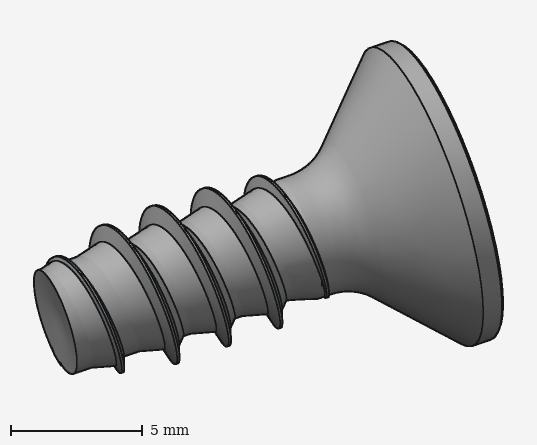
import cadquery as cq
import math

LENGTH = 16.0

HEAD_RADIUS = 6.0
RIM_HEIGHT = 0.87
RIM_CHAMFER = 0.1
CONE_ANGLE = math.radians(45)

SHANK_RADIUS = 2.4
NECK_BLEND_RADIUS = 2.4
SHANK_END = 6.0
CORE_RADIUS = 2.09
RUNOUT_ANGLE = math.radians(16)

RECESS_RADIUS = 2.0
RECESS_DEPTH = 0.2

PITCH = 2.13
CREST_RADIUS = 3.0
CREST_WIDTH = 0.1
FIRST_CREST_DEPTH = 5.85
HEAD_FLANK_ANGLE = math.radians(21)
TIP_FLANK_ANGLE = math.radians(19)
FLANK_FOOT_RADIUS = 2.4
RAMP_HEIGHT = 0.35
ROOT_RADIUS = 1.0
RELIEF_RADIUS = 2.40
RELIEF_SLOPE = 0.25
RELIEF_END_RADIUS = 2.06

RUN_IN_START = -0.25
RUN_IN_END = 1.0
RUN_IN_RADIUS = 2.35
RUN_IN_POWER = 1.5
RUN_OUT_START = 3.27
RELIEF_DROP_START = 3.75
THREAD_END = 5.25
CREST_DROP_PER_TURN = 0.56
RELIEF_DROP_PER_TURN = 0.24
PATCHES = 11
STEPS_PER_PATCH = 8
TIP_ALLOWANCE = 3.0


def revolve_about_y(outline):
    return outline.close().revolve(360, (0, 0, 0), (0, 1, 0))


def make_blank():
    """Head, blended neck, shank and an overlong core as one turned body."""
    blend_rise = NECK_BLEND_RADIUS * (1 - math.cos(CONE_ANGLE))
    blend_length = NECK_BLEND_RADIUS * math.sin(CONE_ANGLE)
    cone_end_radius = SHANK_RADIUS + blend_rise
    cone_end = RIM_HEIGHT + (HEAD_RADIUS - cone_end_radius) / math.tan(CONE_ANGLE)
    blend_end = cone_end + blend_length
    half_angle = CONE_ANGLE / 2
    blend_mid = (
        SHANK_RADIUS + NECK_BLEND_RADIUS * (1 - math.cos(half_angle)),
        -blend_end + NECK_BLEND_RADIUS * math.sin(half_angle),
    )
    core_start = SHANK_END + (SHANK_RADIUS - CORE_RADIUS) / math.tan(RUNOUT_ANGLE)
    outline = (
        cq.Workplane("XY")
        .lineTo(HEAD_RADIUS - RIM_CHAMFER, 0)
        .lineTo(HEAD_RADIUS, -RIM_CHAMFER)
        .lineTo(HEAD_RADIUS, -RIM_HEIGHT)
        .lineTo(cone_end_radius, -cone_end)
        .threePointArc(blend_mid, (SHANK_RADIUS, -blend_end))
        .lineTo(SHANK_RADIUS, -SHANK_END)
        .lineTo(CORE_RADIUS, -core_start)
        .lineTo(CORE_RADIUS, -LENGTH - TIP_ALLOWANCE)
        .lineTo(0, -LENGTH - TIP_ALLOWANCE)
    )
    return revolve_about_y(outline)


def crest_radius(turn):
    """Crest radius, rising over the run-in and falling over the run-out."""
    if turn < RUN_IN_END:
        remaining = (RUN_IN_END - turn) / (RUN_IN_END - RUN_IN_START)
        return CREST_RADIUS - (CREST_RADIUS - RUN_IN_RADIUS) * remaining**RUN_IN_POWER
    return CREST_RADIUS - max(turn - RUN_OUT_START, 0) * CREST_DROP_PER_TURN


def relief_radius(turn):
    return RELIEF_RADIUS - max(turn - RELIEF_DROP_START, 0) * RELIEF_DROP_PER_TURN


def thread_profile(turn):
    """Corners of the thread section as (depth from the crest, radius), from head to tip."""
    crest = crest_radius(turn)
    relief = relief_radius(turn)
    half_crest = CREST_WIDTH / 2
    flank_height = CREST_RADIUS - FLANK_FOOT_RADIUS
    foot = crest - flank_height
    foot_depth = -half_crest - flank_height * math.tan(HEAD_FLANK_ANGLE)
    flank_slope = 1 / math.tan(TIP_FLANK_ANGLE)
    meet = (crest - relief + RELIEF_SLOPE * half_crest) / (flank_slope - RELIEF_SLOPE)
    relief_end_depth = (relief - RELIEF_END_RADIUS) / RELIEF_SLOPE
    return [
        (foot_depth - RAMP_HEIGHT, foot - RAMP_HEIGHT),
        (foot_depth, foot),
        (-half_crest, crest),
        (half_crest, crest),
        (half_crest + meet, crest - meet * flank_slope),
        (relief_end_depth, RELIEF_END_RADIUS),
        (0, ROOT_RADIUS),
    ]


def helix_point(turn, corner):
    offset, radius = corner
    angle = 2 * math.pi * turn
    depth = FIRST_CREST_DEPTH + PITCH * turn + offset
    return cq.Vector(radius * math.cos(angle), -depth, radius * math.sin(angle))


def thread_patch_rails(start_turn, end_turn):
    """Helical edges along the section corners over one short stretch of the thread."""
    step = (end_turn - start_turn) / STEPS_PER_PATCH
    turns = [start_turn + step * i for i in range(STEPS_PER_PATCH + 1)]
    sections = [[helix_point(turn, corner) for corner in thread_profile(turn)] for turn in turns]
    return [cq.Edge.makeSpline(list(path), parameters=turns) for path in zip(*sections)]


def make_thread():
    """Solid bounded by ruled faces between the helical paths of the section corners."""
    stops = [RUN_IN_START + (THREAD_END - RUN_IN_START) * i / PATCHES for i in range(PATCHES + 1)]
    patches = [thread_patch_rails(start, end) for start, end in zip(stops, stops[1:])]
    faces = [
        cq.Face.makeRuledSurface(rails[i - 1], rails[i]) for rails in patches for i in range(len(rails))
    ]
    for rails, end in ((patches[0], 0), (patches[-1], 1)):
        corners = [rail.positionAt(end) for rail in rails]
        faces.append(cq.Face.makeFromWires(cq.Wire.makePolygon(corners, close=True)))
    return cq.Workplane(cq.Solid.makeSolid(cq.Shell.makeShell(faces)).fix())


def make_tip_trim():
    """Disc that takes off the core and thread beyond the tip."""
    return cq.Workplane("XZ", origin=(0, -LENGTH, 0)).circle(HEAD_RADIUS).extrude(2 * TIP_ALLOWANCE)


def make_recess():
    outline = (
        cq.Workplane("XY")
        .moveTo(0, -LENGTH)
        .lineTo(RECESS_RADIUS, -LENGTH)
        .lineTo(0, -LENGTH + RECESS_DEPTH)
    )
    return revolve_about_y(outline)


result = make_blank().union(make_thread()).cut(make_tip_trim()).cut(make_recess())